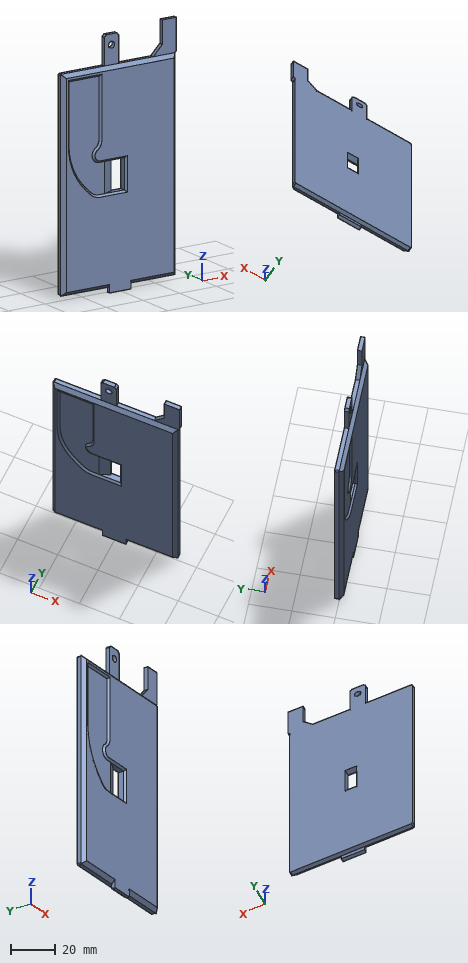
import cadquery as cq
import math

wall_slope = 45

plate_width = 62.4
plate_bottom = 2.2
plate_top = 107.0
front_thickness = 1.9
back_thickness = 2.1
back_corner_chamfer = 0.6

tab_left, tab_right, tab_top = 23.8, 31.7, 121.5
tab_chamfer = 1.1
hole_diameter = 3.2
hole_height = 116.3
hook_left, hook_right, hook_top = 55.5, 63.1, 123.5
hook_foot_left = 50.5
hook_slope_top = 112.0
foot_left, foot_right = 25.5, 37.2
foot_top = plate_bottom + front_thickness

pocket_depth = 1.0
pocket_left, pocket_right, pocket_top = 3.0, 21.2, 104.0
arcs_top = 73.0
window_right, window_top, window_bottom = 35.1, 63.2, 46.1
nose_radius = 2.8
nose_x = 20.4
outer_radius = 30.9
lower_radius = 7.9

ramp_start, ramp_end = 23.3, 28.3
lip_thickness = 1.0

front_face = -front_thickness
floor_y = front_face + pocket_depth


def prism(points, y_start, y_end):
    """Extrude an XZ polygon between two Y positions."""
    sketch = cq.Workplane("XZ", origin=(0, y_end, 0)).polyline(points).close()
    return sketch.extrude(y_end - y_start)


def block(x_start, x_end, y_start, y_end, z_start, z_end):
    size = (x_end - x_start, y_end - y_start, z_end - z_start)
    return cq.Workplane("XY").box(*size, centered=False).translate((x_start, y_start, z_start))


def polar(center, radius, degrees):
    angle = math.radians(degrees)
    return (center[0] + radius * math.cos(angle), center[1] + radius * math.sin(angle))


def make_plate():
    front = (
        cq.Workplane("XZ")
        .moveTo(plate_width / 2, (plate_bottom + plate_top) / 2)
        .rect(plate_width, plate_top - plate_bottom)
        .extrude(front_thickness, taper=wall_slope)
    )
    back = block(0, plate_width, 0, back_thickness, plate_bottom, plate_top)
    back = back.edges("|Y").chamfer(back_corner_chamfer)
    return front.union(back)


def make_hole_tab():
    tab = block(tab_left, tab_right, 0, back_thickness, plate_top - back_corner_chamfer, tab_top)
    tab = tab.faces(">Z").edges("|Y").chamfer(tab_chamfer)
    hole_x = (tab_left + tab_right) / 2
    hole = cq.Workplane("XZ", origin=(hole_x, back_thickness, hole_height))
    return tab.cut(hole.circle(hole_diameter / 2).extrude(back_thickness))


def make_hook():
    overhang = hook_right - plate_width
    return prism(
        [
            (hook_foot_left, plate_top),
            (hook_left, hook_slope_top),
            (hook_left, hook_top),
            (hook_right, hook_top),
            (hook_right, plate_top + overhang),
            (plate_width - back_corner_chamfer, plate_top - back_corner_chamfer),
            (hook_foot_left, plate_top - back_corner_chamfer),
        ],
        0,
        back_thickness,
    )


def make_pocket():
    nose = (nose_x, window_top + nose_radius)
    rise = arcs_top - nose[1]
    inset = pocket_right - nose_x
    upper_radius = (rise**2 + inset**2 - nose_radius**2) / (2 * (nose_radius + inset))
    upper = (pocket_right - upper_radius, arcs_top)
    join_angle = math.degrees(math.atan2(nose[1] - upper[1], nose[0] - upper[0]))
    nose_start = 180 + join_angle

    diagonal = 225
    outer = (pocket_left + outer_radius, arcs_top)
    lower = (nose_x, window_bottom + lower_radius)
    return (
        cq.Workplane("XZ", origin=(0, front_face, 0))
        .moveTo(pocket_left, pocket_top)
        .lineTo(pocket_right, pocket_top)
        .lineTo(pocket_right, arcs_top)
        .threePointArc(polar(upper, upper_radius, join_angle / 2), polar(upper, upper_radius, join_angle))
        .threePointArc(polar(nose, nose_radius, (nose_start + 270) / 2), (nose_x, window_top))
        .lineTo(window_right, window_top)
        .lineTo(window_right, window_bottom)
        .lineTo(nose_x, window_bottom)
        .threePointArc(polar(lower, lower_radius, (270 + diagonal) / 2), polar(lower, lower_radius, diagonal))
        .lineTo(*polar(outer, outer_radius, diagonal))
        .threePointArc(polar(outer, outer_radius, (180 + diagonal) / 2), (pocket_left, arcs_top))
        .close()
        .extrude(-pocket_depth, taper=wall_slope)
    )


def make_window():
    right = window_right - pocket_depth
    bottom = window_bottom + pocket_depth
    height = window_top - pocket_depth - bottom
    profile = [
        (ramp_start, floor_y),
        (right, floor_y),
        (right, back_thickness),
        (ramp_end, back_thickness),
        (ramp_end, back_thickness - lip_thickness),
    ]
    return cq.Workplane("XY", origin=(0, 0, bottom)).polyline(profile).close().extrude(height)


foot = block(foot_left, foot_right, front_face, 0, 0, foot_top)
body = make_plate().union(make_hole_tab()).union(make_hook()).union(foot)
result = body.cut(make_pocket()).cut(make_window())